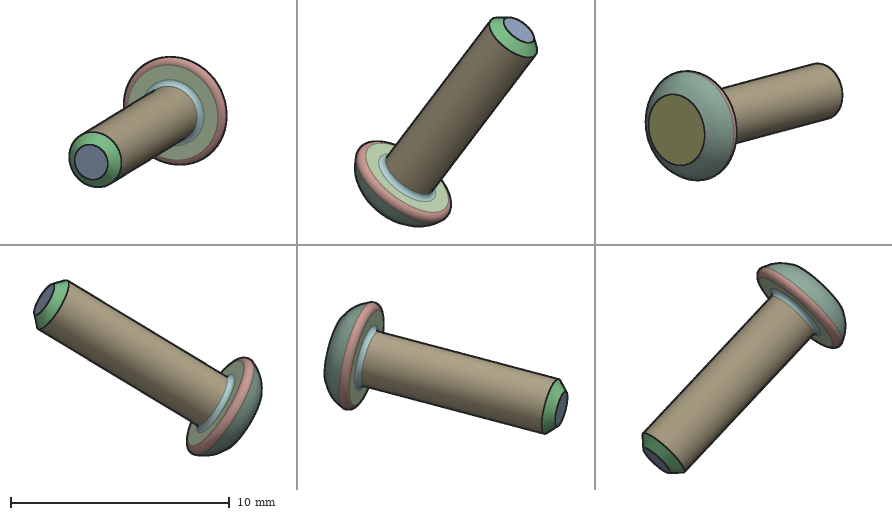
import cadquery as cq
import math

overall_length = 10.95
head_diameter = 5.08
head_height = 1.43
crown_flat_diameter = 3.3
rim_radius = 0.3
dome_start = 0.4
shank_diameter = 2.6
neck_fillet = 0.25
tip_diameter = 1.65
tip_angle = 45

head_radius = head_diameter / 2
crown_radius = crown_flat_diameter / 2
bearing_radius = head_radius - rim_radius
dome_base_radius = bearing_radius + math.sqrt(rim_radius**2 - (dome_start - rim_radius) ** 2)
shank_radius = shank_diameter / 2
tip_radius = tip_diameter / 2
tip_length = (shank_radius - tip_radius) / math.tan(math.radians(tip_angle))
tip_y = head_height - overall_length


def half_profile():
    """Half section of the screw in the XY plane, on the +X side of the axis."""
    shank = (
        cq.Workplane("XY")
        .moveTo(0, tip_y)
        .lineTo(tip_radius, tip_y)
        .lineTo(shank_radius, tip_y + tip_length)
        .lineTo(shank_radius, -neck_fillet)
        .radiusArc((shank_radius + neck_fillet, 0), neck_fillet)
    )
    head = (
        shank.lineTo(bearing_radius, 0)
        .tangentArcPoint((dome_base_radius, dome_start), relative=False)
        .tangentArcPoint((crown_radius, head_height), relative=False)
    )
    return head.lineTo(0, head_height).close()


result = half_profile().revolve(360, (0, 0, 0), (0, 1, 0))